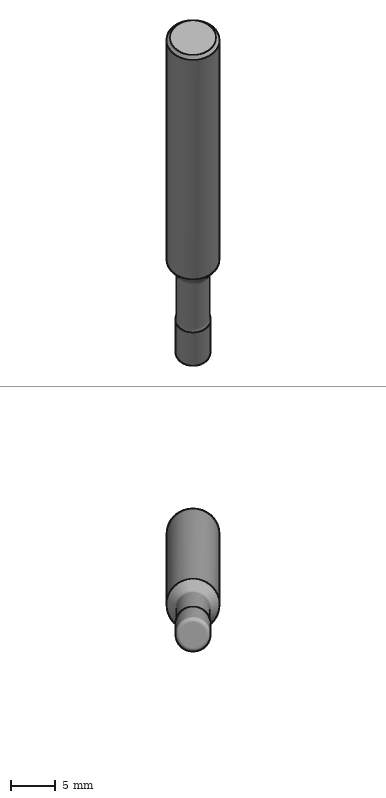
import cadquery as cq
import math

total_length = 54.0
shank_radius = 6.0 / 2
neck_radius = 3.85 / 2
cutter_radius = 4.0 / 2

cutter_length = 6.0
tip_corner_radius = 0.495

neck_flare_height = 0.5
shank_start = 16.2
shank_taper_angle = math.radians(30)
neck_fillet_radius = 1.0
end_chamfer_width = 0.4
end_chamfer_height = 0.4

taper_foot = shank_start - (shank_radius - neck_radius) / math.tan(shank_taper_angle)
fillet_reach = neck_fillet_radius * math.tan(shank_taper_angle / 2)
fillet_start = taper_foot - fillet_reach
fillet_end_radius = neck_radius + fillet_reach * math.sin(shank_taper_angle)
fillet_end = taper_foot + fillet_reach * math.cos(shank_taper_angle)


def make_cutter():
    """Cylindrical cutting head with a rounded corner at the tip."""
    cylinder = cq.Workplane("XY").circle(cutter_radius).extrude(cutter_length)
    return cylinder.faces("<Z").edges().fillet(tip_corner_radius)


def make_shank():
    """Shank with a tapered, filleted neck that flares out to the cutter."""
    half_profile = (
        cq.Workplane("XZ")
        .moveTo(0, cutter_length)
        .lineTo(cutter_radius, cutter_length)
        .lineTo(neck_radius, cutter_length + neck_flare_height)
        .lineTo(neck_radius, fillet_start)
        .tangentArcPoint((fillet_end_radius, fillet_end), relative=False)
        .lineTo(shank_radius, shank_start)
        .lineTo(shank_radius, total_length - end_chamfer_height)
        .lineTo(shank_radius - end_chamfer_width, total_length)
        .lineTo(0, total_length)
        .close()
    )
    return half_profile.revolve(360, (0, 0, 0), (0, 1, 0))


cutter = make_cutter()
shank = make_shank()

result = cq.Compound.makeCompound([cutter.val(), shank.val()])